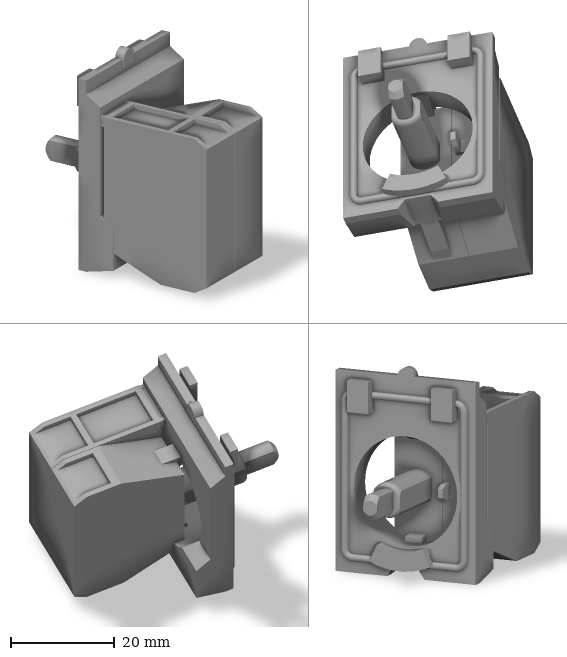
import cadquery as cq
import math


plate_width = 29.84
plate_top = 22.8
plate_bottom = -17.0
plate_thin = 1.8
plate_mid = 5.0
plate_thick = 8.0
upper_slope_start = 19.9
upper_slope_end = 17.85
lower_slope_start = -4.85
lower_slope_end = -6.9
flange_rear_bottom = -15.45
opening_radius = 11.0
notch_half_bottom = 4.03
notch_half_top = 2.6
notch_top = -15.0

tab_thickness = 2.0
tab_root = 21.1
tab_half_width = 1.74
tab_top = 24.5
tab_shoulder_half = 1.28
tab_shoulder = plate_top + 1.08

wire_radius = 0.7
wire_axis_x = -0.5
ring_half_width = 12.7
ring_top = 18.55
ring_bottom = -13.9
ring_corner_radius = 1.65
hook_front = -2.77
hook_back = -1.06
hook_inner_y = 6.69
hook_width = 4.48
hook_top = 21.55
hook_bottom = 15.3
hook_leg_top = 17.75
clamp_inner_radius = 11.4
clamp_outer_radius = 15.17
clamp_leg_radius = 13.0
clamp_half_angle = 25.0

block_front = 5.8
block_rear = 29.39
block_half_height = 16.0
block_chamfer_x = 2.73
block_chamfer_z = 1.57
upper_slope_length = 13.6
lower_slope_length = 13.05
slope_drop = 5.0
back_block_y = (-5.0, 5.08)
front_block_y = (-14.88, -5.1)
pocket_floor = 14.77
rear_pocket_x = (21.04, 28.85)
front_pocket_x = (7.06, 19.85)
back_pocket_y = (-3.97, 4.1)
front_pocket_y = (-13.8, -6.0)

spacer_bottom = 13.9
spacer_y = (-14.7, -5.2)
spacer_recess_y = (-13.9, -5.9)
spacer_recess_depth = 0.2

shaft_step = -8.8
shaft_tip = -16.2
thick_radius = 3.53
thick_half_flat = 2.87
thick_rounding = 0.95
thin_radius = 2.56
thin_half_flat = 1.46
tip_chamfer_length = 1.05
tip_chamfer_depth = 1.1

latch_half_width = 1.74
upper_latch_front = 1.0
upper_latch_rear = 9.0
upper_latch_top = 12.3
upper_latch_front_bottom = 11.0
upper_latch_rear_bottom = 9.2
lower_latch_front = 3.5
lower_latch_front_top = -9.65
lower_latch_rear_top = -9.28
lower_latch_bottom = -10.75
lever_front = 6.0
lever_front_top = -12.65
lever_front_bottom = -14.35
lever_bend = 15.6
lever_bend_top = -14.0
lever_tip = 18.1
arm_half_height = 1.52
arm_y = (-11.5, -6.14)
catch_width = 1.05
catch_front = 1.5
catch_taper_end = 3.0
catch_tip_half_height = 0.93


def span_box(x, y, z):
    """Box between the given (low, high) pairs."""
    size = (x[1] - x[0], y[1] - y[0], z[1] - z[0])
    return cq.Workplane("XY").box(*size, centered=False).translate((x[0], y[0], z[0]))


def side_profile(points, y):
    """Closed (x, z) outline extruded over the (low, high) range y."""
    workplane = cq.Workplane("XZ", origin=(0, y[1], 0))
    return workplane.polyline(points).close().extrude(y[1] - y[0])


def make_plate():
    plate = side_profile(
        [
            (0, plate_top),
            (plate_thin, plate_top),
            (plate_thin, upper_slope_start),
            (plate_mid, upper_slope_end),
            (plate_mid, lower_slope_start),
            (plate_thick, lower_slope_end),
            (plate_thick, flange_rear_bottom),
            (plate_thin, plate_bottom),
            (0, plate_bottom),
        ],
        (-plate_width / 2, plate_width / 2),
    )
    opening = cq.Workplane("YZ").circle(opening_radius).extrude(plate_thick)
    notch = (
        cq.Workplane("YZ")
        .polyline(
            [
                (-notch_half_bottom, plate_bottom),
                (notch_half_bottom, plate_bottom),
                (notch_half_top, notch_top),
                (-notch_half_top, notch_top),
            ]
        )
        .close()
        .extrude(plate_thick)
    )
    return plate.cut(opening).cut(notch)


def make_top_tab():
    return (
        cq.Workplane("YZ")
        .moveTo(-tab_half_width, tab_root)
        .lineTo(-tab_half_width, plate_top)
        .threePointArc((-tab_shoulder_half, tab_shoulder), (0, tab_top))
        .threePointArc((tab_shoulder_half, tab_shoulder), (tab_half_width, plate_top))
        .lineTo(tab_half_width, tab_root)
        .close()
        .extrude(tab_thickness)
    )


def make_wire_ring():
    path = (
        cq.Workplane("YZ", origin=(wire_axis_x, 0, (ring_top + ring_bottom) / 2))
        .rect(2 * ring_half_width, ring_top - ring_bottom)
        .extrude(wire_radius)
        .edges("|X")
        .fillet(ring_corner_radius)
        .faces("<X")
        .wires()
        .val()
    )
    section = cq.Workplane("XZ", origin=(wire_axis_x, 0, ring_top)).circle(wire_radius)
    return section.sweep(cq.Workplane(path))


def make_ring_hook(y):
    head = span_box((hook_front, hook_back), y, (hook_bottom, hook_top))
    leg = span_box((hook_back, 0), y, (hook_bottom, hook_leg_top))
    return head.union(leg)


def ring_sector(x, inner, outer):
    """Part of a ring around the shaft axis, centred on -Z."""

    def at(radius, angle):
        return (radius * math.sin(angle), -radius * math.cos(angle))

    half = math.radians(clamp_half_angle)
    return (
        cq.Workplane("YZ", origin=(x[0], 0, 0))
        .moveTo(*at(inner, -half))
        .threePointArc(at(inner, 0), at(inner, half))
        .lineTo(*at(outer, half))
        .threePointArc(at(outer, 0), at(outer, -half))
        .close()
        .extrude(x[1] - x[0])
    )


def make_bottom_clamp():
    head = ring_sector((hook_front, hook_back), clamp_inner_radius, clamp_outer_radius)
    leg = ring_sector((hook_back, 0), clamp_inner_radius, clamp_leg_radius)
    return head.union(leg)


def make_block(y, sloped_top):
    top = block_half_height
    chamfer_start = block_rear - block_chamfer_x
    if sloped_top:
        top_front = [(block_front, top - slope_drop), (block_front + upper_slope_length, top)]
    else:
        top_front = [(block_front, top)]
    points = top_front + [
        (chamfer_start, top),
        (block_rear, top - block_chamfer_z),
        (block_rear, block_chamfer_z - top),
        (chamfer_start, -top),
        (block_front + lower_slope_length, -top),
        (block_front, slope_drop - top),
    ]
    return side_profile(points, y)


def make_blocks():
    pocket_z = (pocket_floor, block_half_height)
    back = make_block(back_block_y, True)
    back = back.cut(span_box(rear_pocket_x, back_pocket_y, pocket_z))
    front = make_block(front_block_y, False)
    for pocket_x in (front_pocket_x, rear_pocket_x):
        front = front.cut(span_box(pocket_x, front_pocket_y, pocket_z))
    return back.union(front)


def make_spacer():
    gap_x = (plate_mid, block_front)
    spacer = span_box(gap_x, spacer_y, (spacer_bottom, block_half_height))
    recess_z = (block_half_height - spacer_recess_depth, block_half_height)
    return spacer.cut(span_box(gap_x, spacer_recess_y, recess_z))


def flatted_bar(bar, half_flat):
    """Trim a bar along X to the width between two flats."""
    box_x = (shaft_tip, block_front)
    reach = (-thick_radius, thick_radius)
    return bar.intersect(span_box(box_x, (-half_flat, half_flat), reach))


def make_shaft():
    thick_length = block_front - shaft_step
    thick = cq.Workplane("YZ", origin=(shaft_step, 0, 0)).circle(thick_radius).extrude(thick_length)
    thick = thick.faces("<X").edges().fillet(thick_rounding)
    thin_length = shaft_step - shaft_tip
    thin = cq.Workplane("YZ", origin=(shaft_tip, 0, 0)).circle(thin_radius).extrude(thin_length)
    thin = thin.faces("<X").chamfer(tip_chamfer_length, tip_chamfer_depth)
    return flatted_bar(thick, thick_half_flat).union(flatted_bar(thin, thin_half_flat))


def make_upper_latch():
    """Hook above the shaft with a slanted underside, fixed to the back block."""
    return side_profile(
        [
            (upper_latch_front, upper_latch_top),
            (upper_latch_rear, upper_latch_top),
            (upper_latch_rear, upper_latch_rear_bottom),
            (block_front, upper_latch_rear_bottom),
            (upper_latch_front, upper_latch_front_bottom),
        ],
        (-latch_half_width, latch_half_width),
    )


def make_lower_latch():
    """Hook below the shaft with a slightly slanted top, fixed to the back block."""
    return side_profile(
        [
            (lower_latch_front, lower_latch_front_top),
            (block_front, lower_latch_rear_top),
            (block_front, lower_latch_bottom),
            (lower_latch_front, lower_latch_bottom),
        ],
        (-latch_half_width, latch_half_width),
    )


def make_release_lever():
    """Lever sloping down from the bottom flange to under the back block."""
    return side_profile(
        [
            (lever_front, lever_front_top),
            (lever_bend, lever_bend_top),
            (lever_tip, -block_half_height),
            (lever_bend, -block_half_height),
            (lever_front, lever_front_bottom),
        ],
        (-latch_half_width, latch_half_width),
    )


def make_side_latch():
    """Arm in front of the front block, with a tapered catch at its inner end."""
    arm = span_box((plate_mid, block_front), arm_y, (-arm_half_height, arm_half_height))
    catch = side_profile(
        [
            (catch_front, catch_tip_half_height),
            (catch_taper_end, arm_half_height),
            (block_front, arm_half_height),
            (block_front, -arm_half_height),
            (catch_taper_end, -arm_half_height),
            (catch_front, -catch_tip_half_height),
        ],
        (arm_y[1] - catch_width, arm_y[1]),
    )
    return arm.union(catch)


hook_outer_y = hook_inner_y + hook_width
features = [
    make_top_tab(),
    make_wire_ring(),
    make_ring_hook((hook_inner_y, hook_outer_y)),
    make_ring_hook((-hook_outer_y, -hook_inner_y)),
    make_bottom_clamp(),
    make_blocks(),
    make_spacer(),
    make_shaft(),
    make_upper_latch(),
    make_lower_latch(),
    make_release_lever(),
    make_side_latch(),
]
result = make_plate()
for feature in features:
    result = result.union(feature)